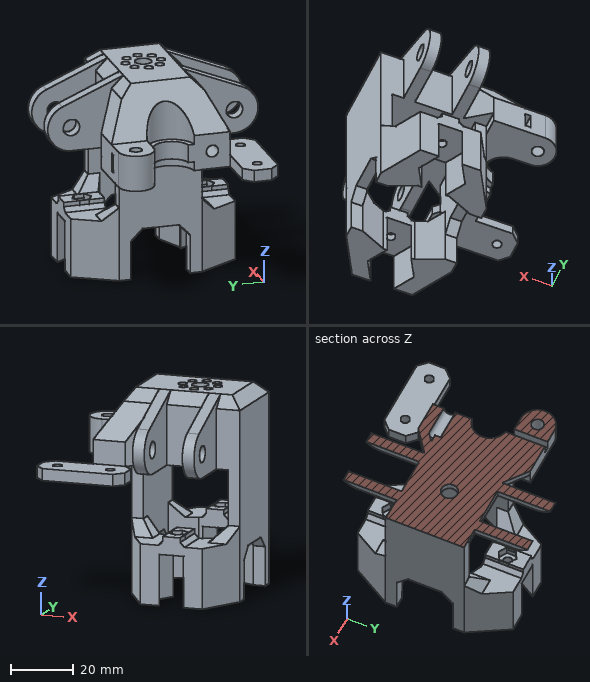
import cadquery as cq
import math

wall = 4.0
body_half_x = 18.5
body_half_y = 14.0
top_z = 67.25
head_floor_z = 43.25
clamp_z = head_floor_z - wall
shelf_z = 51.25

foot_z = 20.0
foot_half_y = 27.72
flare_angle = 60.0
gusset = 5.0
well_end_half_x = 5.5
tunnel_half_y = 10.0
pocket_z = 17.0
tunnel_chamfer = 4.0
pocket_diameter = 16.2
screw_inset = 7.0
screw_diameter = 3.0
nut_diameter = 6.4
nut_depth = 3.0
rail_half_width = 3.0
rail_height = 3.0
rail_ramp = 1.5

head_chamfer = 4.0
clamp_half_y = 20.0
clamp_face_x = -29.5
shoulder_x = -10.5
bore_diameter = 5.5
dimple_diameter = 2.8
dimple_ring_radius = 6.0
dimple_count = 8

lug_half_gap = 6.5
lug_hole_y = 27.5
lug_radius = shelf_z - head_floor_z

groove_center_x = -30.5
socket_radius = 8.0
collar_radius = 6.0
collar_bottom_z = clamp_z + 3.0
collar_height = 6.0
slot_depth = 2.0
arm_center_x = -36.5
arm_radius = 6.0
arm_center_y = clamp_half_y - arm_radius
clamp_hole_diameter = 4.0
clamp_hole_z = clamp_z + 6.0

plate_length = 30.0
plate_width = 12.0
plate_min_x = -45.5
plate_chamfer = 3.0
plate_hole_pitch = 18.0
plate_hole_diameter = 3.0

inner_half_x = body_half_x - wall
screw_y = foot_half_y - screw_inset
foot_end_half_x = body_half_x - (foot_half_y - body_half_y) / math.tan(math.radians(flare_angle))


def box(x_range, y_range, z_range):
    """Box spanning the given (min, max) ranges."""
    sizes = [high - low for low, high in (x_range, y_range, z_range)]
    corner = (x_range[0], y_range[0], z_range[0])
    return cq.Workplane("XY").box(*sizes, centered=False).translate(corner)


def plan_prism(points, z_low, z_high):
    """Prism with a closed XY outline."""
    outline = cq.Workplane("XY").workplane(offset=z_low).polyline(points).close()
    return outline.extrude(z_high - z_low)


def rod(x, y, diameter, z_low, z_high):
    """Vertical cylinder."""
    base = cq.Workplane("XY").workplane(offset=z_low).center(x, y)
    return base.circle(diameter / 2).extrude(z_high - z_low)


def hexagon(y, diameter, z_low, z_high):
    """Vertical hexagonal prism centred on x = 0, with two corners along X."""
    base = cq.Workplane("XY").workplane(offset=z_low).center(0, y)
    return base.polygon(6, diameter).extrude(z_high - z_low)


def make_foot():
    """Flared foot with gussets up to the side walls and a rail on each half."""
    outline = [
        (body_half_x, -body_half_y), (body_half_x, body_half_y),
        (foot_end_half_x, foot_half_y), (-foot_end_half_x, foot_half_y),
        (-body_half_x, body_half_y), (-body_half_x, -body_half_y),
        (-foot_end_half_x, -foot_half_y), (foot_end_half_x, -foot_half_y),
    ]
    foot = plan_prism(outline, 0, foot_z)

    gusset_limit = plan_prism(outline, foot_z, foot_z + gusset)
    gusset_length = wall + 3 * gusset
    gusset_x = inner_half_x - gusset + gusset_length / 2
    for side in (-1, 1):
        block = (
            cq.Workplane("XY").workplane(offset=foot_z)
            .center(side * gusset_x, 0)
            .rect(gusset_length, 2 * (body_half_y + gusset))
            .extrude(gusset, taper=45)
        )
        foot = foot.union(block.intersect(gusset_limit))

    ramp_half = rail_half_width + rail_ramp
    rail_top = foot_z + rail_height
    rail = (
        cq.Workplane("XZ")
        .polyline([
            (-ramp_half, foot_z), (-rail_half_width, foot_z + rail_ramp),
            (-rail_half_width, rail_top), (rail_half_width, rail_top),
            (rail_half_width, foot_z + rail_ramp), (ramp_half, foot_z),
        ])
        .close()
        .extrude(foot_half_y, both=True)
    )
    return foot.union(rail)


def cut_foot(foot):
    """Open the central well, the passage along X, the pockets and the screw holes."""
    well = plan_prism([
        (inner_half_x, -tunnel_half_y), (inner_half_x, tunnel_half_y),
        (well_end_half_x, body_half_y), (-well_end_half_x, body_half_y),
        (-inner_half_x, tunnel_half_y), (-inner_half_x, -tunnel_half_y),
        (-well_end_half_x, -body_half_y), (well_end_half_x, -body_half_y),
    ], 0, head_floor_z)
    foot = foot.cut(well)

    roof_half = tunnel_half_y - tunnel_chamfer
    spring_z = pocket_z - tunnel_chamfer
    tunnel = (
        cq.Workplane("YZ")
        .polyline([
            (-tunnel_half_y, 0), (-tunnel_half_y, spring_z), (-roof_half, pocket_z),
            (roof_half, pocket_z), (tunnel_half_y, spring_z), (tunnel_half_y, 0),
        ])
        .close()
        .extrude(body_half_x, both=True)
    )
    foot = foot.cut(tunnel)

    rail_top = foot_z + rail_height
    for y in (-screw_y, screw_y):
        foot = foot.cut(hexagon(y, pocket_diameter, 0, pocket_z))
        foot = foot.cut(rod(0, y, screw_diameter, 0, rail_top))
        nut = hexagon(0, nut_diameter, rail_top - nut_depth, rail_top)
        nut = nut.rotate((0, 0, 0), (0, 0, 1), 90).translate((0, y, 0))
        foot = foot.cut(nut)
    return foot


def make_side_walls():
    """Two walls carrying the head above the foot; they reach the passage roof."""
    walls = box((-body_half_x, -inner_half_x), (-body_half_y, body_half_y), (pocket_z, head_floor_z))
    return walls.union(walls.mirror("YZ"))


def make_head():
    """Head and clamp block: three prisms along Y, X and Z intersected."""
    chamfer_z = top_z - head_chamfer
    side = (
        cq.Workplane("XZ")
        .polyline([
            (clamp_face_x, clamp_z), (clamp_face_x, shelf_z), (-body_half_x, top_z),
            (body_half_x - head_chamfer, top_z), (body_half_x, chamfer_z),
            (body_half_x, head_floor_z), (-body_half_x, head_floor_z), (-body_half_x, clamp_z),
        ])
        .close()
        .extrude(clamp_half_y, both=True)
    )
    top_half_y = body_half_y - head_chamfer
    end = (
        cq.Workplane("YZ")
        .polyline([
            (-clamp_half_y, clamp_z), (-clamp_half_y, shelf_z), (-body_half_y, chamfer_z),
            (-top_half_y, top_z), (top_half_y, top_z),
            (body_half_y, chamfer_z), (clamp_half_y, shelf_z), (clamp_half_y, clamp_z),
        ])
        .close()
        .extrude(-clamp_face_x, both=True)
    )
    plan = plan_prism([
        (clamp_face_x, -clamp_half_y), (-body_half_x, -clamp_half_y), (shoulder_x, -body_half_y),
        (body_half_x, -body_half_y), (body_half_x, body_half_y), (shoulder_x, body_half_y),
        (-body_half_x, clamp_half_y), (clamp_face_x, clamp_half_y),
    ], clamp_z, top_z)
    return side.intersect(end).intersect(plan)


def make_lug_pair(x):
    """Plate across the head with a rounded, drilled lug at both Y ends, from x to x + wall."""
    top_half_y = body_half_y - head_chamfer
    rise = top_z - shelf_z
    run = lug_hole_y - top_half_y
    to_corner = math.atan2(rise, -run)
    touch = to_corner - math.acos(lug_radius / math.hypot(run, rise))
    touch_y = lug_hole_y + lug_radius * math.cos(touch)
    touch_z = shelf_z + lug_radius * math.sin(touch)
    tip_y = lug_hole_y + lug_radius
    profile = (
        cq.Workplane("YZ").workplane(offset=x)
        .moveTo(top_half_y, top_z)
        .lineTo(touch_y, touch_z)
        .threePointArc((tip_y, shelf_z), (lug_hole_y, head_floor_z))
        .lineTo(-lug_hole_y, head_floor_z)
        .threePointArc((-tip_y, shelf_z), (-touch_y, touch_z))
        .lineTo(-top_half_y, top_z)
        .close()
        .extrude(wall)
    )
    holes = (
        cq.Workplane("YZ").workplane(offset=x)
        .pushPoints([(-lug_hole_y, shelf_z), (lug_hole_y, shelf_z)])
        .circle(bore_diameter / 2)
        .extrude(wall)
    )
    return profile.cut(holes)


def make_arm():
    """Rounded arm on the +Y half of the clamp, in front of the clamp face."""
    arm = box(
        (arm_center_x, clamp_face_x),
        (arm_center_y - arm_radius, arm_center_y + arm_radius),
        (clamp_z, shelf_z),
    )
    shoulder = box((groove_center_x, clamp_face_x), (collar_radius, arm_center_y), (clamp_z, shelf_z))
    arm = arm.union(shoulder).union(rod(arm_center_x, arm_center_y, 2 * arm_radius, clamp_z, shelf_z))
    return arm.cut(rod(arm_center_x, arm_center_y, clamp_hole_diameter, clamp_z, shelf_z))


def cut_clamp(part):
    """Stepped half-round socket, clip slot and clamp screw hole."""
    collar_top_z = collar_bottom_z + collar_height
    part = part.cut(rod(groove_center_x, 0, 2 * collar_radius, clamp_z, top_z))
    for z_low, z_high in ((clamp_z, collar_bottom_z), (collar_top_z, top_z)):
        part = part.cut(rod(groove_center_x, 0, 2 * socket_radius, z_low, z_high))

    slot = box((clamp_face_x - slot_depth, clamp_face_x), (0, clamp_half_y), (collar_bottom_z, collar_top_z))
    part = part.cut(slot)

    shoulder_slope = (shoulder_x + body_half_x) / (clamp_half_y - body_half_y)
    hole_radius = clamp_hole_diameter / 2
    hole_length = -body_half_x - clamp_face_x + hole_radius * shoulder_slope
    hole = (
        cq.Workplane("YZ").workplane(offset=clamp_face_x)
        .center(-body_half_y, clamp_hole_z)
        .circle(hole_radius)
        .extrude(hole_length)
    )
    hole_limit = plan_prism([
        (clamp_face_x, -body_half_y + hole_radius),
        (-body_half_x, -body_half_y + hole_radius),
        (-body_half_x, -body_half_y),
        (-body_half_x + hole_radius * shoulder_slope, -body_half_y),
        (-body_half_x, -body_half_y - hole_radius),
        (clamp_face_x, -body_half_y - hole_radius),
    ], clamp_z, shelf_z)
    return part.cut(hole.intersect(hole_limit))


def make_plate():
    """Drilled mounting plate beside the clamp block."""
    plate = box(
        (plate_min_x, plate_min_x + plate_length),
        (-clamp_half_y - plate_width, -clamp_half_y),
        (clamp_z, head_floor_z),
    )
    plate = plate.edges("|Z").chamfer(plate_chamfer)
    center_x = plate_min_x + plate_length / 2
    center_y = -clamp_half_y - plate_width / 2
    for side in (-1, 1):
        x = center_x + side * plate_hole_pitch / 2
        plate = plate.cut(rod(x, center_y, plate_hole_diameter, clamp_z, head_floor_z))
    return plate


def cut_top(part):
    """Axle hole through the head and a ring of hemispherical dimples around it."""
    part = part.cut(rod(0, 0, bore_diameter, head_floor_z, top_z))
    dimples = (
        cq.Workplane("XY").workplane(offset=top_z)
        .polarArray(dimple_ring_radius, 0, 360, dimple_count)
        .sphere(dimple_diameter / 2)
    )
    return part.cut(dimples)


part = cut_foot(make_foot().union(make_side_walls()))
part = part.union(make_head()).union(make_arm())
part = cut_clamp(part)
for lug_x in (-lug_half_gap - wall, lug_half_gap):
    part = part.union(make_lug_pair(lug_x))
part = part.union(make_plate())
result = cut_top(part)